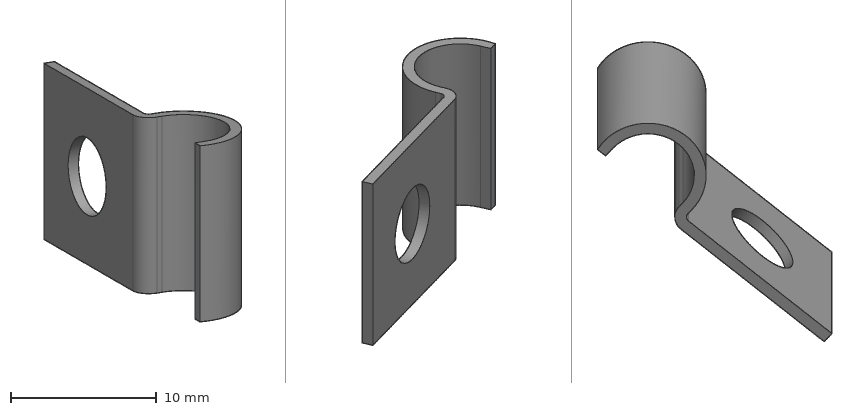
import cadquery as cq
import math

length = 21.45
width = 12.7
thickness = 0.81
loop_outer_radius = 3.99
loop_center_height = 1.6
bend_inner_radius = 0.4
hole_diameter = 5.55
hole_x = 6.35

loop_inner_radius = loop_outer_radius - thickness
loop_center_x = length - loop_outer_radius
bend_outer_radius = bend_inner_radius + thickness
wall_outer_x = loop_center_x - loop_outer_radius
wall_inner_x = wall_outer_x + thickness
bend_center_x = wall_outer_x - bend_inner_radius
bend_center_y = bend_outer_radius
tip_y = thickness
outer_tip_drop = loop_center_height - tip_y
outer_tip_x = loop_center_x + math.sqrt(loop_outer_radius**2 - outer_tip_drop**2)
inner_tip_x = loop_center_x + loop_inner_radius
diagonal = math.sqrt(0.5)


def clip_profile():
    """Bent strip: flat plate, bend, short wall and the half-round loop."""
    return (
        cq.Workplane("XY")
        .moveTo(0, 0)
        .lineTo(bend_center_x, 0)
        .threePointArc(
            (bend_center_x + bend_outer_radius * diagonal, bend_center_y - bend_outer_radius * diagonal),
            (wall_inner_x, bend_center_y),
        )
        .lineTo(wall_inner_x, loop_center_height)
        .threePointArc(
            (loop_center_x, loop_center_height + loop_inner_radius),
            (inner_tip_x, loop_center_height),
        )
        .lineTo(inner_tip_x, tip_y)
        .lineTo(outer_tip_x, tip_y)
        .threePointArc(
            (loop_center_x, loop_center_height + loop_outer_radius),
            (wall_outer_x, loop_center_height),
        )
        .lineTo(wall_outer_x, bend_center_y)
        .threePointArc(
            (bend_center_x + bend_inner_radius * diagonal, bend_center_y - bend_inner_radius * diagonal),
            (bend_center_x, thickness),
        )
        .lineTo(0, thickness)
        .close()
    )


def screw_hole():
    """Cutter for the round hole through the plate, centred across its width."""
    return (
        cq.Workplane("XZ")
        .center(hole_x, width / 2)
        .circle(hole_diameter / 2)
        .extrude(-thickness)
    )


result = clip_profile().extrude(width).cut(screw_hole())